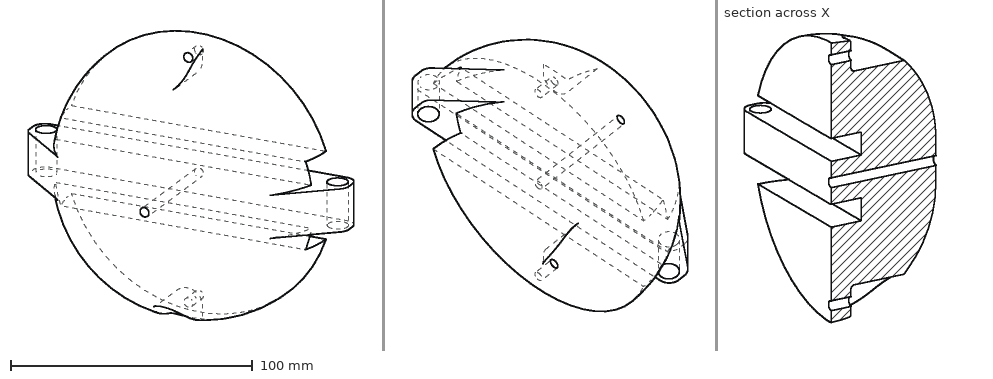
import cadquery as cq
import math

dome_diameter = 124.1
dome_radius = dome_diameter / 2
dome_height = 50.8
nose_radius = 10.2
centre_hole_radius = 2.0

bar_length = 147.5
bar_root_length = 97.4
bar_width = 19.2
lug_edge_depth = 11.5
lug_slope_angle = 40.0
lug_corner_radius = 5.5
lug_hole_radius = 4.4
lug_hole_inset = 6.5
lug_hole_depth = 6.3
lug_blend_radius = 10.3

channel_outer_width = 39.1
channel_depth = 14.5

pocket_width = 14.0
pocket_radius = pocket_width / 2
pocket_centre = 54.5
pocket_floor_depth = 9.7
pocket_floor_fillet = 1.5
pocket_rim_fillet = 1.2
screw_hole_radius = 2.0


def make_dome():
    """Quarter ellipse beside a flat nose, turned about the Y axis."""
    return (
        cq.Workplane("XY")
        .lineTo(0, -dome_height)
        .lineTo(nose_radius, -dome_height)
        .ellipseArc(dome_radius - nose_radius, dome_height, 270, 360)
        .close()
        .revolve(360, (0, 0, 0), (0, 1, 0))
    )


def make_channel_block():
    """Block that opens the back along X; the bar put back in it leaves a channel on each side."""
    return cq.Workplane("XY").box(bar_length, 2 * channel_depth, channel_outer_width)


def make_bar():
    """Bar across the back whose ends taper from the dome to rounded lugs."""
    half_length = bar_length / 2
    root_half_length = bar_root_length / 2
    slope = math.tan(math.radians(lug_slope_angle))
    root_depth = lug_edge_depth + (half_length - root_half_length) * slope
    bar = (
        cq.Workplane("XY")
        .polyline(
            [
                (-half_length, 0),
                (half_length, 0),
                (half_length, -lug_edge_depth),
                (root_half_length, -root_depth),
                (root_half_length, -channel_depth),
                (-root_half_length, -channel_depth),
                (-root_half_length, -root_depth),
                (-half_length, -lug_edge_depth),
            ]
        )
        .close()
        .extrude(bar_width / 2, both=True)
    )
    return bar.edges("|Z").edges("<X or >X").fillet(lug_corner_radius)


def make_pocket(side):
    """Round-bottomed cutter running toward -Y, open to the outside; side is +1 or -1 along Z."""
    outer_end = side * (pocket_centre + 2 * pocket_radius)
    return (
        cq.Workplane("XZ", origin=(0, -pocket_floor_depth, 0))
        .moveTo(-pocket_radius, side * pocket_centre)
        .threePointArc(
            (0, side * (pocket_centre - pocket_radius)),
            (pocket_radius, side * pocket_centre),
        )
        .lineTo(pocket_radius, outer_end)
        .lineTo(-pocket_radius, outer_end)
        .close()
        .extrude(dome_height)
        .faces(">Y")
        .edges()
        .fillet(pocket_floor_fillet)
    )


def make_hole(radius, height):
    """Round cutter along Y through the whole dome at the given Z height."""
    return cq.Workplane("XZ", origin=(0, 0, height)).circle(radius).extrude(dome_height)


def round_pocket_rim(body, side):
    """Round the curved edges where a pocket breaks through the dome surface."""
    reach = 2 * pocket_radius
    rim_zone = cq.selectors.BoxSelector(
        (-reach, -dome_height, side * (pocket_centre - reach)),
        (reach, -pocket_floor_depth / 2, side * (pocket_centre + reach)),
    )
    return body.edges(rim_zone).edges("%BSPLINE").fillet(pocket_rim_fillet)


def blend_lugs(body):
    """Round the inner corners where the sloped lug undersides run into the dome."""
    blend_bottom = lug_blend_radius - dome_height
    blend_zone = cq.selectors.BoxSelector(
        (-dome_radius, blend_bottom, -bar_width / 3),
        (dome_radius, -channel_depth, bar_width / 3),
    )
    return body.edges(blend_zone).fillet(lug_blend_radius)


def make_lug_hole(side):
    """Round cutter along Z through one lug; side is +1 or -1 along X."""
    return (
        cq.Workplane("XY")
        .center(side * (bar_length / 2 - lug_hole_inset), -lug_hole_depth)
        .circle(lug_hole_radius)
        .extrude(bar_width, both=True)
    )


body = make_dome()
for side in (1, -1):
    body = body.cut(make_pocket(side))
    body = round_pocket_rim(body, side)

body = body.cut(make_channel_block()).union(make_bar())
body = blend_lugs(body)

body = body.cut(make_hole(centre_hole_radius, 0))
for side in (1, -1):
    body = body.cut(make_hole(screw_hole_radius, side * pocket_centre))
    body = body.cut(make_lug_hole(side))

result = body